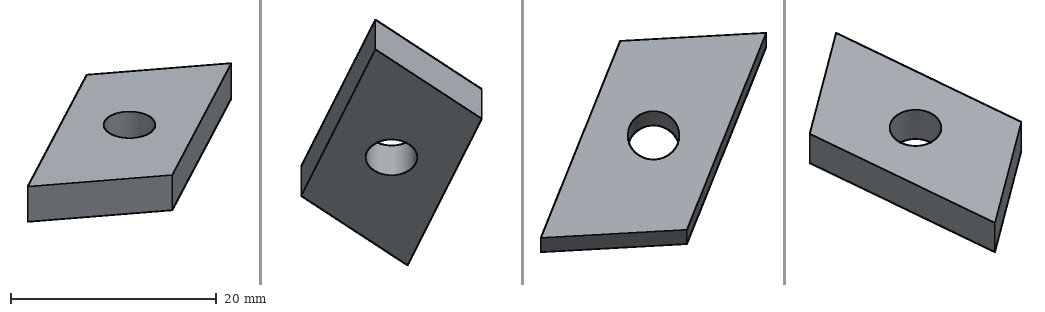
import cadquery as cq

width = 13.0
length = 27.68
thickness = 4.0
end_rise = 5.8
hole_diameter = 5.0

half_width = width / 2
half_length = length / 2

outline = [
    (-half_width, -half_length),
    (half_width, -half_length + end_rise),
    (half_width, half_length),
    (-half_width, half_length - end_rise),
]
plate = cq.Workplane("XY").polyline(outline).close().extrude(thickness)

result = plate.faces(">Z").workplane(origin=(0, 0, thickness)).hole(hole_diameter)